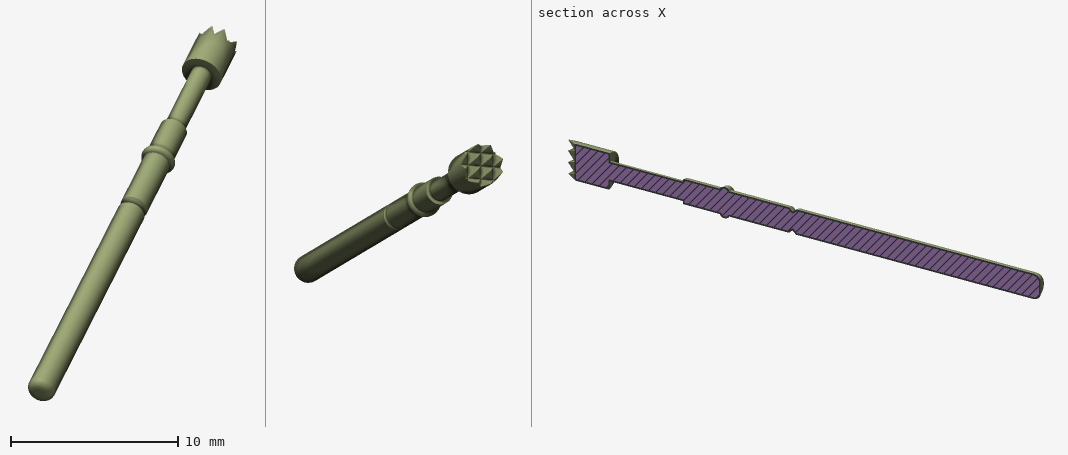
import cadquery as cq
import math

total_length = 32.0

head_radius = 1.25
head_length = 3.0
grooves_per_direction = 3
tooth_pitch = 0.8
groove_angle = 60.0

shaft_radius = 0.65
shaft_length = 5.0

barrel_diameter = 1.7
tail_round = 0.48

ring_outer_radius = 1.05
ring_bead_radius = 0.3
ring_from_mouth = 2.75

crimp_from_mouth = 7.33
crimp_depth = 0.25

barrel_radius = barrel_diameter / 2
head_base = total_length - head_length
barrel_mouth = head_base - shaft_length
ring_y = barrel_mouth - ring_from_mouth
crimp_y = barrel_mouth - crimp_from_mouth

groove_depth = tooth_pitch / 2 / math.tan(math.radians(groove_angle / 2))


def cylinder(radius, start, length):
    """Cylinder on the Y axis, from Y = start towards +Y."""
    plane = cq.Plane(origin=(0, start, 0), xDir=(1, 0, 0), normal=(0, 1, 0))
    return cq.Workplane(plane).circle(radius).extrude(length)


def make_barrel():
    """Round-ended barrel with its press ring and crimp groove."""
    barrel = cylinder(barrel_radius, 0, barrel_mouth).faces("<Y").edges().fillet(tail_round)

    bead_offset = ring_outer_radius - ring_bead_radius
    ring = (
        cq.Workplane("XY")
        .moveTo(bead_offset, ring_y - ring_bead_radius)
        .threePointArc((ring_outer_radius, ring_y), (bead_offset, ring_y + ring_bead_radius))
        .close()
        .revolve(360, (0, 0), (0, 1))
    )

    crimp = (
        cq.Workplane("XY")
        .moveTo(barrel_radius, crimp_y - crimp_depth)
        .lineTo(barrel_radius - crimp_depth, crimp_y)
        .lineTo(barrel_radius, crimp_y + crimp_depth)
        .close()
        .revolve(360, (0, 0), (0, 1))
    )
    return barrel.union(ring).cut(crimp)


def make_grooves(rotation):
    """Parallel V grooves along Z, turned about the Y axis by the given angle in degrees."""
    groove_floor = total_length - groove_depth
    half_span = grooves_per_direction * tooth_pitch / 2
    zigzag = [(-half_span, total_length)]
    for index in range(grooves_per_direction):
        left_tip = -half_span + index * tooth_pitch
        zigzag.append((left_tip + tooth_pitch / 2, groove_floor))
        zigzag.append((left_tip + tooth_pitch, total_length))
    clearance_top = total_length + groove_depth
    zigzag.append((half_span, clearance_top))
    zigzag.append((-half_span, clearance_top))
    grooves = cq.Workplane("XY").polyline(zigzag).close().extrude(head_radius, both=True)
    return grooves.rotate((0, 0, 0), (0, 1, 0), rotation)


def make_head():
    """Head cut by two crossing sets of V grooves, leaving pyramid teeth."""
    head = cylinder(head_radius, head_base, head_length)
    for rotation in (0, 90):
        head = head.cut(make_grooves(rotation))
    return head


shaft = cylinder(shaft_radius, barrel_mouth, shaft_length)
result = make_barrel().union(shaft).union(make_head())